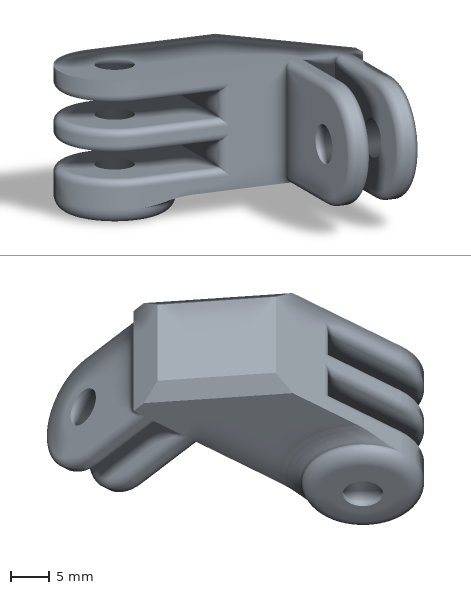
import cadquery as cq

body_width = 16.0
body_length = 40.0
body_height = 16.5
body_end_radius = body_width / 2
corner_cut = 11.0
corner_chamfer = 2.0
bolt_diameter = 5.3
edge_radius = 1.0

fork_finger = 3.1
slot_height = 3.7
slot_depth = 19.75

boss_height = 3.0
boss_edge_radius = 2.0
boss_blend_width = 2.8
boss_blend_drop = boss_height - boss_edge_radius

prong_reach = 20.0
prong_thickness = 3.0
prong_pitch = 7.0
prong_inset = 1.0
prong_end_radius = body_height / 2

bolt_x = body_end_radius
bolt_y = body_end_radius
first_prong_y = body_length - prong_inset
prong_end_x = body_width + prong_reach
slot_count = 2
prong_count = 2


def make_body():
    """Upright plate with one rounded end and one cut corner."""
    body = (
        cq.Workplane("XY")
        .moveTo(0, bolt_y)
        .threePointArc((bolt_x, 0), (body_width, bolt_y))
        .lineTo(body_width, body_length)
        .lineTo(corner_cut, body_length)
        .lineTo(0, body_length - corner_cut)
        .close()
        .extrude(body_height)
    )
    cut_edges = cq.selectors.ParallelDirSelector(cq.Vector(1, 1, 0))
    return body.edges(cut_edges).chamfer(corner_chamfer)


def cut_fork_slots(body):
    """Cut the slots across X and round the rim of each opening."""
    tolerance = 0.05
    for index in range(slot_count):
        slot_top = body_height - fork_finger - index * (slot_height + fork_finger)
        slot_bottom = slot_top - slot_height
        slot = cq.Workplane("XY", origin=(0, 0, slot_bottom)).box(
            body_width, slot_depth, slot_height, centered=False
        )
        body = body.cut(slot)
        rim_zone = cq.selectors.BoxSelector(
            (-tolerance, -tolerance, slot_bottom - tolerance),
            (body_width + tolerance, slot_depth + tolerance, slot_top + tolerance),
            boundingbox=True,
        )
        body = body.edges(rim_zone).edges("not |X").fillet(edge_radius)
    return body


def make_boss():
    """Turned boss with a rounded foot and a hollow blend, trimmed to the body width."""
    blend_radius = body_end_radius + boss_blend_width
    blend_arc = (boss_blend_width**2 + boss_blend_drop**2) / (2 * boss_blend_drop)
    boss = (
        cq.Workplane("XZ", origin=(bolt_x, bolt_y, 0))
        .lineTo(blend_radius, 0)
        .radiusArc((body_end_radius, -boss_blend_drop), -blend_arc)
        .radiusArc((body_end_radius - boss_edge_radius, -boss_height), boss_edge_radius)
        .lineTo(0, -boss_height)
        .close()
        .revolve(360, (0, 0, 0), (0, 1, 0))
    )
    footprint = (
        cq.Workplane("XY", origin=(0, 0, -boss_height))
        .moveTo(0, bolt_y)
        .threePointArc((bolt_x, 0), (body_width, bolt_y))
        .lineTo(body_width, body_length)
        .lineTo(0, body_length)
        .close()
        .extrude(boss_height)
    )
    return boss.intersect(footprint)


def make_prong(high_y):
    """Flat prong along X with a round end, a bolt hole and rounded outer edges."""
    pivot_x = prong_end_x - prong_end_radius
    prong = (
        cq.Workplane("XZ", origin=(0, high_y, 0))
        .moveTo(body_width, 0)
        .lineTo(pivot_x, 0)
        .threePointArc((prong_end_x, prong_end_radius), (pivot_x, body_height))
        .lineTo(body_width, body_height)
        .close()
        .extrude(prong_thickness)
        .faces("<Y or >Y")
        .edges("not |Z")
        .fillet(edge_radius)
    )
    hole = (
        cq.Workplane("XZ", origin=(pivot_x, high_y, prong_end_radius))
        .circle(bolt_diameter / 2)
        .extrude(prong_thickness)
    )
    return prong.cut(hole)


result = cut_fork_slots(make_body()).union(make_boss())
for prong_index in range(prong_count):
    result = result.union(make_prong(first_prong_y - prong_index * prong_pitch))

bolt_hole = (
    cq.Workplane("XY", origin=(bolt_x, bolt_y, -boss_height))
    .circle(bolt_diameter / 2)
    .extrude(boss_height + body_height)
)
result = result.cut(bolt_hole)